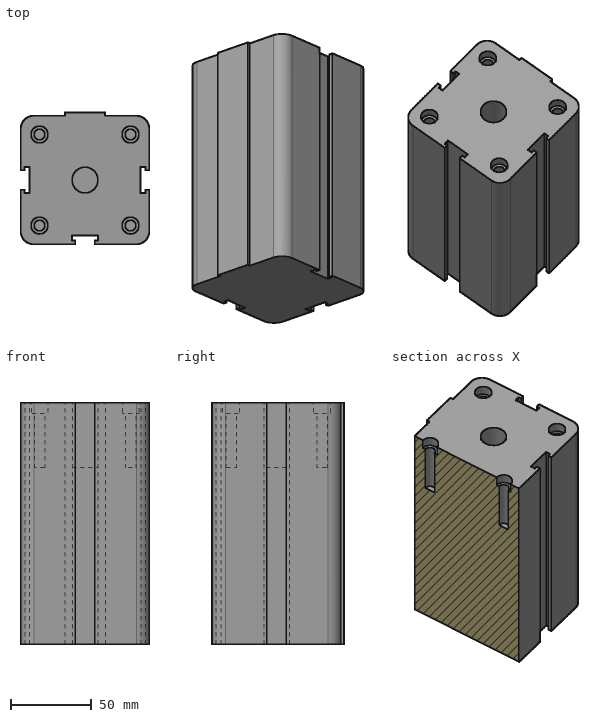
import cadquery as cq

side = 80.0
length = 150.0
corner_radius = 8.25

strip_width = 25.0
strip_height = 2.0

slot_mouth_width = 12.0
slot_lip = 2.5
slot_undercut_width = 16.0
slot_depth = 5.5

bore_diameter = 16.0
bore_depth = 40.0

hole_spacing = 56.5
hole_diameter = 6.65
hole_depth = 40.0
counterbore_diameter = 10.5
counterbore_depth = 6.6


def make_body():
    """Square bar with rounded corners and a raised strip on the +Y face."""
    bar = cq.Workplane("XY").rect(side, side).extrude(length).edges("|Z").fillet(corner_radius)
    strip = (
        cq.Workplane("XY")
        .center(0, side / 4)
        .rect(strip_width, side / 2)
        .extrude(length)
        .translate((0, strip_height, 0))
    )
    return bar.union(strip)


def make_t_slot():
    """Solid filling the T-slot of the -Y face."""
    half_mouth = slot_mouth_width / 2
    half_undercut = slot_undercut_width / 2
    face = -side / 2
    lip_back = face + slot_lip
    slot_floor = face + slot_depth
    outline = [
        (-half_mouth, face),
        (-half_mouth, lip_back),
        (-half_undercut, lip_back),
        (-half_undercut, slot_floor),
        (half_undercut, slot_floor),
        (half_undercut, lip_back),
        (half_mouth, lip_back),
        (half_mouth, face),
    ]
    return cq.Workplane("XY").polyline(outline).close().extrude(length)


def cut_t_slots(body):
    slot = make_t_slot()
    for turn in (-90, 0, 90):
        body = body.cut(slot.rotate((0, 0, 0), (0, 0, 1), turn))
    return body


def cut_top_holes(body):
    """Central bore and the four counterbored corner holes."""
    top = cq.Workplane("XY").workplane(offset=length)
    bore = top.circle(bore_diameter / 2).extrude(-bore_depth)
    corners = top.rect(hole_spacing, hole_spacing, forConstruction=True).vertices()
    holes = corners.circle(hole_diameter / 2).extrude(-hole_depth)
    counterbores = corners.circle(counterbore_diameter / 2).extrude(-counterbore_depth)
    return body.cut(bore).cut(holes).cut(counterbores)


result = cut_top_holes(cut_t_slots(make_body()))